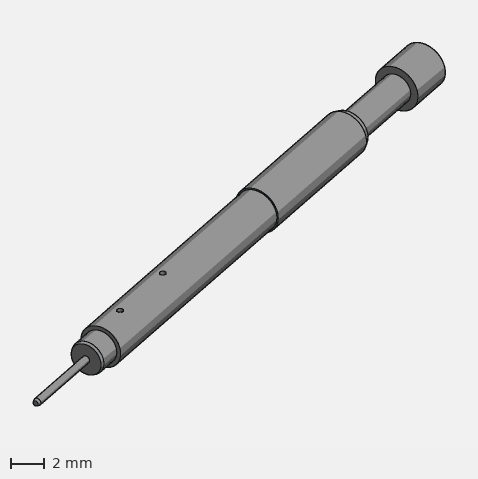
import cadquery as cq
import math

total_length = 42.3

head_diameter = 3.0
plunger_diameter = 2.0
sleeve_diameter = 3.0
barrel_diameter = 2.8
collar_diameter = 2.25
pin_diameter = 0.5

head_length = 3.0
plunger_length = 5.2
sleeve_length = 10.0
barrel_length = 17.0
collar_length = 1.6

chamfer_slope = math.tan(math.radians(20))
sleeve_chamfer_length = 0.4
collar_chamfer_length = 0.2
pin_chamfer_length = 0.2

barrel_hole_diameter = 0.4
barrel_hole_depth = (barrel_diameter - collar_diameter) / 2
barrel_hole_distances = (2.1, 6.75)

head_top = total_length / 2
plunger_top = head_top - head_length
sleeve_top = plunger_top - plunger_length
barrel_top = sleeve_top - sleeve_length
collar_top = barrel_top - barrel_length
pin_top = collar_top - collar_length
pin_tip = -total_length / 2


def make_section(diameter, top_y, bottom_y, top_chamfer=0, bottom_chamfer=0):
    """Round section about the Y axis; the chamfers are lengths along the axis."""
    radius = diameter / 2
    profile = cq.Workplane("XY").moveTo(0, bottom_y)
    if bottom_chamfer:
        profile = profile.lineTo(radius - bottom_chamfer * chamfer_slope, bottom_y)
    profile = profile.lineTo(radius, bottom_y + bottom_chamfer)
    profile = profile.lineTo(radius, top_y - top_chamfer)
    if top_chamfer:
        profile = profile.lineTo(radius - top_chamfer * chamfer_slope, top_y)
    profile = profile.lineTo(0, top_y).close()
    return profile.revolve(360, (0, 0, 0), (0, 1, 0))


def make_barrel_hole(distance):
    """Cutter for a hole in the top of the barrel, at a distance from its pin end."""
    barrel_crest = barrel_diameter / 2
    return (
        cq.Workplane("XY", origin=(0, collar_top + distance, barrel_crest))
        .circle(barrel_hole_diameter / 2)
        .extrude(-barrel_hole_depth)
    )


def make_barrel():
    barrel = make_section(barrel_diameter, barrel_top, collar_top)
    for distance in barrel_hole_distances:
        barrel = barrel.cut(make_barrel_hole(distance))
    return barrel


head = make_section(head_diameter, head_top, plunger_top)
plunger = make_section(plunger_diameter, plunger_top, sleeve_top)
sleeve = make_section(sleeve_diameter, sleeve_top, barrel_top, top_chamfer=sleeve_chamfer_length)
barrel = make_barrel()
collar = make_section(collar_diameter, collar_top, pin_top, bottom_chamfer=collar_chamfer_length)
pin = make_section(pin_diameter, pin_top, pin_tip, bottom_chamfer=pin_chamfer_length)

result = head.union(plunger).union(sleeve).union(barrel).union(collar).union(pin)